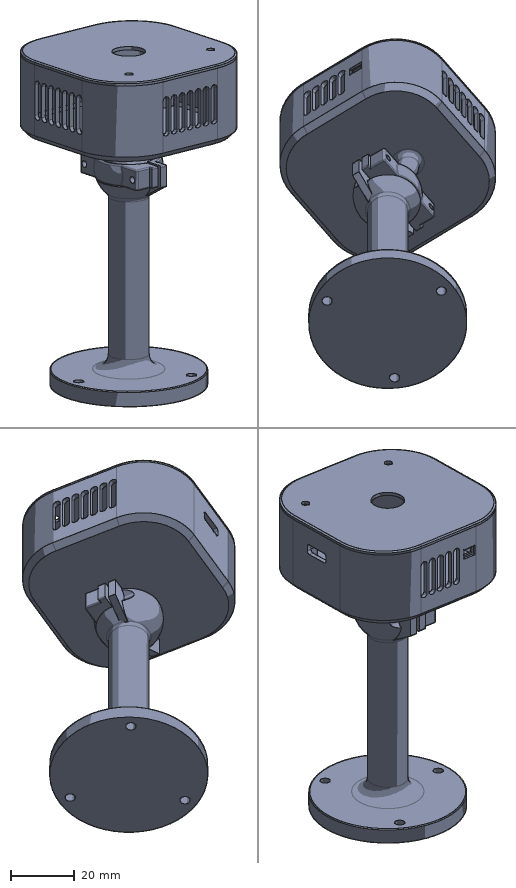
import cadquery as cq
import math

TOTAL_HEIGHT = 109.8

FOOT_DIAMETER = 50.0
FOOT_THICKNESS = 5.0
FOOT_EDGE_CHAMFER = 0.3
FOOT_BLEND = 4.9
FOOT_HOLE_DIAMETER = 3.2
FOOT_HOLE_CIRCLE_RADIUS = 21.0
FOOT_HOLE_ANGLES = (30, 150, 270)
POST_DIAMETER = 13.0
NECK_BLEND = 1.6

BALL_CENTER_Z = 71.7
BALL_RADIUS = 9.1
SOCKET_RADIUS = 11.0
SOCKET_TOP = 75.2
SOCKET_LEDGE = 68.1
SPLIT_GAP = 1.1
EAR_HALF_WIDTH = 14.7
EAR_THICKNESS = 2.5
SCREW_X = 11.5
SCREW_HOLE_DIAMETER = 2.2
SCREW_HEAD_DIAMETER = 5.5
GUSSET_ANGLE = 31
EDGE_ROUND = 0.5

CLAMP_LIFT = 0.3
CLAMP_BLOCK_HALF_WIDTH = 13.6
CLAMP_FRONT_Y = -8.6
CLAMP_CORNER_ROUND = 0.8
CLAMP_RIM_ROUND = 0.4
MOUTH_RELIEF_DIAMETER = 18.2
MOUTH_RELIEF_DEPTH = 0.4

BODY_WIDTH = 59.1
BODY_CORNER_RADIUS = 18.1
BODY_BOTTOM = 83.3
BODY_CHAMFER = 2.0
WALL = 1.5
ARM_DIAMETER = 6.9
ARM_Y = -7.9
ARM_BEND_RADIUS = 4.5
ARM_TOP_FILLET = 1.8
ARM_BALL_FILLET = 0.8
ARM_ANGLE = 45

VENT_WIDTH = 2.5
VENT_LENGTH = 12.9
VENT_PITCH = 3.35
VENT_COUNT = 7
LEFT_VENT_COUNT = 5
VENT_CENTER_Z = 97.1
PORT_WIDTH = 9.0
PORT_HEIGHT = 3.4
PORT_CORNER_RADIUS = 0.9
SWITCH_Y = -8.8
SWITCH_Z = 100.3
SWITCH_RECESS_WIDTH = 4.6
SWITCH_RECESS_HEIGHT = 3.3
SWITCH_WINDOW_WIDTH = 3.4
SWITCH_WINDOW_HEIGHT = 2.0

SUPPORT_X = 11.8
SUPPORT_Y = 24.2
LOWER_SUPPORT_DIAMETER = 7.5
UPPER_SUPPORT_DIAMETER = 6.5
BOARD_BOTTOM = 97.9
BOARD_TOP = 99.3

LID_THICKNESS = 1.1
LID_CHAMFER_HEIGHT = 0.3
LID_CHAMFER_WIDTH = 0.7
LID_CENTER_HOLE_DIAMETER = 10.5
LID_SMALL_HOLE_DIAMETER = 2.5
LID_SMALL_HOLES = ((15.4, 21.0), (18.7, -16.1))

HALF_GAP = SPLIT_GAP / 2
EAR_BACK_Y = HALF_GAP + EAR_THICKNESS
SOCKET_REACH = SOCKET_RADIUS + 1.1
CLAMP_BOTTOM = SOCKET_LEDGE + CLAMP_LIFT
BODY_TOP = TOTAL_HEIGHT - LID_THICKNESS
FLOOR_TOP = BODY_BOTTOM + WALL
CAVITY_CHAMFER = BODY_CHAMFER - WALL * (2 - math.sqrt(2))
HALF_BODY = BODY_WIDTH / 2
VENT_OFFSETS = [(i - (VENT_COUNT - 1) / 2) * VENT_PITCH for i in range(VENT_COUNT)]
CUT_DEPTH = 2 * WALL


def block(x0, x1, y0, y1, z0, z1):
    """Box between two opposite corners."""
    return cq.Workplane("XY").box(x1 - x0, y1 - y0, z1 - z0, centered=False).translate((x0, y0, z0))


def ball(radius):
    """Sphere about the joint centre."""
    return cq.Workplane("XY").sphere(radius).translate((0, 0, BALL_CENTER_Z))


def rounded_square(width, corner_radius, z0, z1):
    """Upright prism with four rounded corners."""
    prism = cq.Workplane("XY").workplane(offset=z0).rect(width, width).extrude(z1 - z0)
    return prism.edges("|Z").fillet(corner_radius)


def upright_cylinder(x, y, diameter, z0, z1):
    return cq.Workplane("XY").workplane(offset=z0).center(x, y).circle(diameter / 2).extrude(z1 - z0)


def screw_holes(diameter, y0, y1):
    """Pair of round holes along Y through the ears."""
    plane = cq.Workplane("XZ", origin=(0, y1, BALL_CENTER_Z))
    return plane.pushPoints([(-SCREW_X, 0), (SCREW_X, 0)]).circle(diameter / 2).extrude(y1 - y0)


def make_stand():
    foot_r = FOOT_DIAMETER / 2
    post_r = POST_DIAMETER / 2
    neck_drop = math.sqrt((SOCKET_RADIUS + NECK_BLEND) ** 2 - (post_r + NECK_BLEND) ** 2)
    neck_start_z = BALL_CENTER_Z - neck_drop
    neck_share = SOCKET_RADIUS / (SOCKET_RADIUS + NECK_BLEND)
    neck_end = ((post_r + NECK_BLEND) * neck_share, BALL_CENTER_Z - neck_drop * neck_share)
    top_r = math.sqrt(SOCKET_RADIUS**2 - (SOCKET_TOP - BALL_CENTER_Z) ** 2)
    profile = (
        cq.Workplane("XZ")
        .lineTo(foot_r, 0)
        .lineTo(foot_r, FOOT_THICKNESS - FOOT_EDGE_CHAMFER)
        .lineTo(foot_r - FOOT_EDGE_CHAMFER, FOOT_THICKNESS)
        .lineTo(post_r + FOOT_BLEND, FOOT_THICKNESS)
        .radiusArc((post_r, FOOT_THICKNESS + FOOT_BLEND), FOOT_BLEND)
        .lineTo(post_r, neck_start_z)
        .radiusArc(neck_end, NECK_BLEND)
        .threePointArc((SOCKET_RADIUS, BALL_CENTER_Z), (top_r, SOCKET_TOP))
        .lineTo(0, SOCKET_TOP)
        .close()
    )
    stand = profile.revolve(360, (0, 0, 0), (0, 1, 0))

    reach = SOCKET_REACH
    stand = stand.cut(block(-reach, reach, -reach, HALF_GAP, SOCKET_LEDGE, TOTAL_HEIGHT))

    gusset_bottom = SOCKET_LEDGE - (EAR_HALF_WIDTH - post_r) * math.tan(math.radians(GUSSET_ANGLE))
    ears = (
        cq.Workplane("XZ", origin=(0, EAR_BACK_Y, 0))
        .moveTo(-EAR_HALF_WIDTH, SOCKET_TOP)
        .lineTo(EAR_HALF_WIDTH, SOCKET_TOP)
        .lineTo(EAR_HALF_WIDTH, SOCKET_LEDGE)
        .lineTo(post_r, gusset_bottom)
        .lineTo(-post_r, gusset_bottom)
        .lineTo(-EAR_HALF_WIDTH, SOCKET_LEDGE)
        .close()
        .extrude(EAR_THICKNESS)
    )
    stand = stand.union(ears)

    stand = stand.faces(">Z").edges("not <Y").fillet(EDGE_ROUND)

    stand = stand.cut(screw_holes(SCREW_HEAD_DIAMETER, EAR_BACK_Y, SOCKET_RADIUS))
    stand = stand.cut(ball(BALL_RADIUS))

    for angle in FOOT_HOLE_ANGLES:
        x = FOOT_HOLE_CIRCLE_RADIUS * math.cos(math.radians(angle))
        y = FOOT_HOLE_CIRCLE_RADIUS * math.sin(math.radians(angle))
        stand = stand.cut(upright_cylinder(x, y, FOOT_HOLE_DIAMETER, 0, FOOT_THICKNESS))
    return stand


def make_clamp():
    reach = SOCKET_REACH
    half_width = CLAMP_BLOCK_HALF_WIDTH
    front = block(
        -half_width, half_width, CLAMP_FRONT_Y, -HALF_GAP, BALL_CENTER_Z - reach, BALL_CENTER_Z + reach
    )
    front = front.faces("<Y").edges("|Z").fillet(CLAMP_CORNER_ROUND)
    front_half = block(-reach, reach, -reach, -HALF_GAP, BALL_CENTER_Z - reach, BALL_CENTER_Z + reach)
    front = front.union(ball(SOCKET_RADIUS).intersect(front_half))
    bulge_seam = cq.selectors.RadiusNthSelector(0)
    front = front.faces("|Y").edges("%CIRCLE").edges(bulge_seam).fillet(EDGE_ROUND)
    front = front.intersect(block(-half_width, half_width, -reach, 0, CLAMP_BOTTOM, SOCKET_TOP))

    ears = block(-EAR_HALF_WIDTH, EAR_HALF_WIDTH, -EAR_BACK_Y, -HALF_GAP, CLAMP_BOTTOM, SOCKET_TOP)
    clamp = front.union(ears)

    clamp = clamp.faces("<Z or >Z").edges("not >Y").fillet(CLAMP_RIM_ROUND)

    clamp = clamp.cut(screw_holes(SCREW_HOLE_DIAMETER, CLAMP_FRONT_Y, -HALF_GAP))
    clamp = clamp.cut(ball(BALL_RADIUS))

    relief_bottom = SOCKET_TOP - MOUTH_RELIEF_DEPTH
    return clamp.cut(upright_cylinder(0, 0, MOUTH_RELIEF_DIAMETER, relief_bottom, SOCKET_TOP))


def make_arm_and_ball():
    """Bent round arm from the housing floor down to the ball."""
    radius = ARM_DIAMETER / 2
    slope = math.radians(ARM_ANGLE)
    toward_ball_y = math.sin(slope)
    toward_ball_z = -math.cos(slope)
    corner_z = BALL_CENTER_Z - ARM_Y / math.tan(slope)
    tangent_length = ARM_BEND_RADIUS * math.tan(slope / 2)
    bend_start_z = corner_z + tangent_length
    bend_center_y = ARM_Y + ARM_BEND_RADIUS
    bend_middle = (
        bend_center_y - ARM_BEND_RADIUS * math.cos(slope / 2),
        bend_start_z - ARM_BEND_RADIUS * math.sin(slope / 2),
    )
    bend_end = (ARM_Y + tangent_length * toward_ball_y, corner_z + tangent_length * toward_ball_z)
    path = (
        cq.Workplane("YZ")
        .moveTo(ARM_Y, FLOOR_TOP)
        .lineTo(ARM_Y, bend_start_z)
        .threePointArc(bend_middle, bend_end)
        .lineTo(0, BALL_CENTER_Z)
    )
    arm = cq.Workplane("XY", origin=(0, ARM_Y, FLOOR_TOP)).circle(radius).sweep(path)
    joint = arm.union(ball(BALL_RADIUS))

    seam_distance = math.sqrt(BALL_RADIUS**2 - radius**2)
    seam_center = (0, -seam_distance * toward_ball_y, BALL_CENTER_Z - seam_distance * toward_ball_z)
    return joint.edges(cq.NearestToPointSelector(seam_center)).fillet(ARM_BALL_FILLET)


def make_vent(face_plane, offset):
    """Upright slot with round ends, cut through one side wall."""
    vent = cq.Workplane(face_plane).center(offset, VENT_CENTER_Z)
    return vent.slot2D(VENT_LENGTH, VENT_WIDTH, 90).extrude(CUT_DEPTH, both=True)


def make_housing():
    shell = rounded_square(BODY_WIDTH, BODY_CORNER_RADIUS, BODY_BOTTOM, BODY_TOP)
    shell = shell.faces("<Z").chamfer(BODY_CHAMFER)
    cavity = rounded_square(BODY_WIDTH - 2 * WALL, BODY_CORNER_RADIUS - WALL, FLOOR_TOP, BODY_TOP)
    cavity = cavity.faces("<Z").chamfer(CAVITY_CHAMFER)

    housing = shell.union(make_arm_and_ball())
    arm_root = cq.NearestToPointSelector((0, ARM_Y, BODY_BOTTOM))
    underside = housing.faces(cq.NearestToPointSelector((0, 0, BODY_BOTTOM)))
    housing = underside.edges(arm_root).fillet(ARM_TOP_FILLET)
    housing = housing.cut(cavity)

    front = cq.Plane((0, -HALF_BODY, 0), (1, 0, 0), (0, -1, 0))
    right = cq.Plane((HALF_BODY, 0, 0), (0, 1, 0), (1, 0, 0))
    left = cq.Plane((-HALF_BODY, 0, 0), (0, -1, 0), (-1, 0, 0))
    for offset in VENT_OFFSETS:
        housing = housing.cut(make_vent(front, offset))
        housing = housing.cut(make_vent(right, offset))
    for offset in VENT_OFFSETS[:LEFT_VENT_COUNT]:
        housing = housing.cut(make_vent(left, offset))

    port_plane = cq.Workplane("XZ", origin=(0, HALF_BODY, BOARD_TOP + PORT_HEIGHT / 2))
    port = port_plane.rect(PORT_WIDTH, PORT_HEIGHT).extrude(CUT_DEPTH, both=True)
    housing = housing.cut(port.edges("|Y").fillet(PORT_CORNER_RADIUS))

    switch = cq.Workplane("YZ", origin=(-HALF_BODY, SWITCH_Y, SWITCH_Z))
    recess = switch.rect(SWITCH_RECESS_WIDTH, SWITCH_RECESS_HEIGHT).extrude(WALL / 2)
    window = switch.rect(SWITCH_WINDOW_WIDTH, SWITCH_WINDOW_HEIGHT).extrude(CUT_DEPTH)
    housing = housing.cut(recess).cut(window)

    for x in (-SUPPORT_X, SUPPORT_X):
        support = upright_cylinder(x, SUPPORT_Y, LOWER_SUPPORT_DIAMETER, FLOOR_TOP - WALL / 2, BOARD_BOTTOM)
        housing = housing.union(support)
    return housing


def make_lid():
    lid = rounded_square(BODY_WIDTH, BODY_CORNER_RADIUS, BODY_TOP, TOTAL_HEIGHT)
    lid = lid.faces(">Z").chamfer(LID_CHAMFER_HEIGHT, LID_CHAMFER_WIDTH)
    lid = lid.cut(upright_cylinder(0, 0, LID_CENTER_HOLE_DIAMETER, BODY_TOP, TOTAL_HEIGHT))
    for x, y in LID_SMALL_HOLES:
        lid = lid.cut(upright_cylinder(x, y, LID_SMALL_HOLE_DIAMETER, BODY_TOP, TOTAL_HEIGHT))
    for x in (-SUPPORT_X, SUPPORT_X):
        lid = lid.union(upright_cylinder(x, SUPPORT_Y, UPPER_SUPPORT_DIAMETER, BOARD_TOP, BODY_TOP))
    return lid


stand = make_stand()
clamp = make_clamp()
housing = make_housing()
lid = make_lid()

bodies = [stand, clamp, housing, lid]
result = cq.Compound.makeCompound([body.solids().val() for body in bodies])